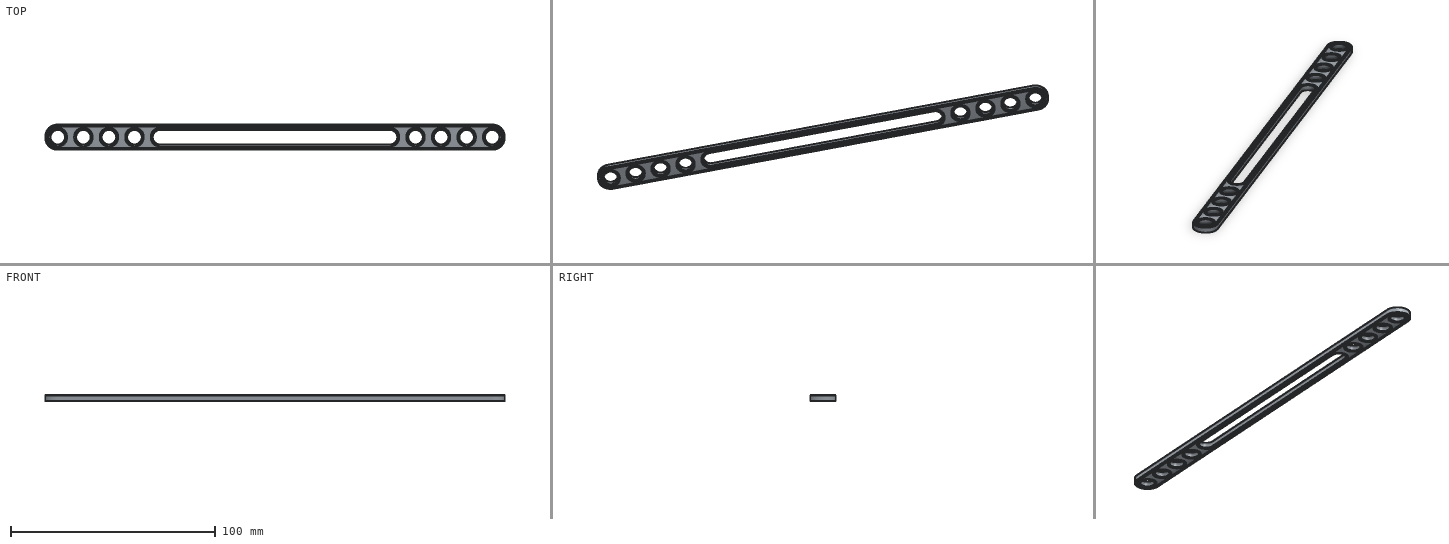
import cadquery as cq

pitch = 12.5
cells = 18
end_holes = 4
hole_diameter = 7.0
rim_diameter = 9.2
recess_depth = 0.2
edge_chamfer = 0.3

length = cells * pitch
width = pitch
thickness = pitch / 4
rim_width = (rim_diameter - hole_diameter) / 2
slot_travel = (cells - 2 * end_holes - 1) * pitch

first_hole_x = (pitch - length) / 2
left_hole_positions = [first_hole_x + i * pitch for i in range(end_holes)]
hole_positions = left_hole_positions + [-x for x in left_hole_positions]
hole_centres = [(x, 0) for x in hole_positions]


def rounded_bar(bar_length, bar_width, height):
    """Round-ended bar lying along X, centred on the origin."""
    return cq.Workplane("XY").slot2D(bar_length, bar_width).extrude(height / 2, both=True)


def openings(diameter):
    """All holes and the slot as solids of the strip's thickness, at the given diameter."""
    holes = cq.Workplane("XY").pushPoints(hole_centres).circle(diameter / 2)
    holes = holes.extrude(thickness / 2, both=True)
    return holes.union(rounded_bar(slot_travel + diameter, diameter, thickness))


def make_body():
    """Strip with its holes and slot, every rim of both faces chamfered."""
    body = rounded_bar(length, width, thickness).cut(openings(hole_diameter))
    return body.faces("|Z").edges().chamfer(edge_chamfer)


def make_recesses():
    """Thin cutters for both faces, leaving a rim along the outline and around each opening."""
    inner_length = length - 2 * rim_width
    inner_width = width - 2 * rim_width
    core = rounded_bar(inner_length, inner_width, thickness - 2 * recess_depth)
    layers = rounded_bar(inner_length, inner_width, thickness).cut(core)
    return layers.cut(openings(rim_diameter))


result = make_body().cut(make_recesses())